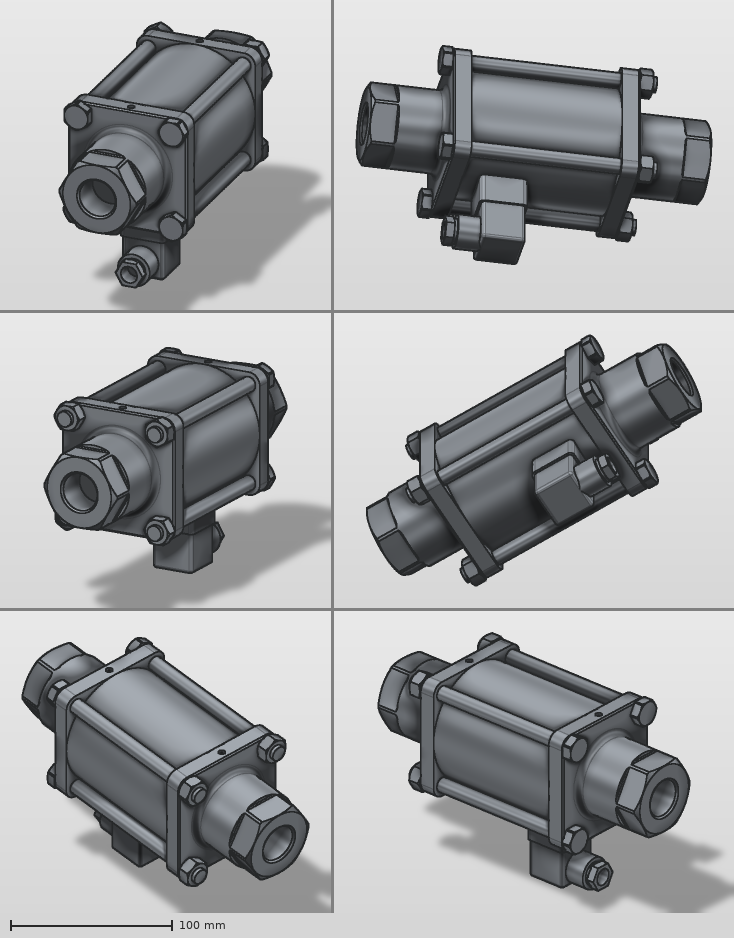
import cadquery as cq
import math

overall_length = 215.2
end_y = overall_length / 2

tube_diameter = 80.0
tube_length = 95.1
flange_width = tube_diameter
flange_thickness = 11.6
flange_corner_radius = 7.7
flange_edge_chamfer = 1.0
flange_inner_y = tube_length / 2
flange_outer_y = flange_inner_y + flange_thickness

side_hole_diameter = 4.3
side_hole_depth = 4.3
drill_point_angle = 118.0

fitting_diameter = 52.0
fitting_root_fillet = 4.0
fitting_hex_flats = 46.0
fitting_hex_length = 17.2
fitting_hex_root = 0.9
fitting_end_diameter = 45.6
port_diameter = 24.0
port_depth = 21.5
port_chamfer = 1.3

bolt_offset = 32.0
rod_diameter = 10.0
rod_end_y = 70.4
bolt_flats = 16.0
head_height = 6.5
head_corner_diameter = 17.9
nut_height = 8.5

connector_y = -22.0
socket_top_z = -38.3
connector_bottom_z = -83.7
socket_size_x = 30.5
socket_size_y = 30.1
socket_bottom_z = -57.5
socket_edge_radius = 3.0
plug_size_x = 28.0
plug_size_y = 27.5
plug_edge_radius = 2.2

gland_diameter = 21.5
gland_z = connector_bottom_z + gland_diameter / 2
gland_end_y = -49.7
gland_neck_diameter = 16.0
gland_neck_length = 2.0
gland_hex_flats = 16.0
gland_hex_length = 5.4
cable_hole_diameter = 11.0
cable_hole_depth = 10.8

hex_chamfer_angle = 30.0


def hex_corner_diameter(flats):
    """Diameter over the corners of a hexagon with the given width across flats."""
    return flats / math.cos(math.radians(30))


def y_cylinder(diameter, start_y, end, x=0.0, z=0.0):
    """Cylinder along Y from start_y to end."""
    plane = cq.Plane(origin=(x, start_y, z), xDir=(1, 0, 0), normal=(0, 1, 0))
    return cq.Workplane(plane).circle(diameter / 2).extrude(end - start_y)


def y_hexagon(flats, start_y, end, x=0.0, z=0.0, turn=0.0):
    """Hexagonal prism along Y, with flats at top and bottom when turn is 0."""
    plane = cq.Plane(origin=(x, start_y, z), xDir=(1, 0, 0), normal=(0, 1, 0))
    profile = cq.Workplane(plane).transformed(rotate=(0, 0, turn))
    return profile.polygon(6, hex_corner_diameter(flats)).extrude(end - start_y)


def edge_drop(corner_diameter, face_diameter):
    """Axial length of the turned chamfer on the end of a hexagon."""
    return (corner_diameter - face_diameter) / 2 * math.tan(math.radians(hex_chamfer_angle))


def turned_blank(corner_diameter, face_diameter, start_y, end, x=0.0, z=0.0, both_ends=False):
    """Cylinder with a shallow chamfer at its start, or at both ends."""
    drop = edge_drop(corner_diameter, face_diameter)
    radial = (corner_diameter - face_diameter) / 2
    blank = y_cylinder(corner_diameter, start_y, end, x, z)
    blank = blank.faces("<Y").edges().chamfer(drop, radial)
    if both_ends:
        blank = blank.faces(">Y").edges().chamfer(drop, radial)
    return blank


def front_flange():
    flange = (
        cq.Workplane("XY")
        .box(flange_width, flange_thickness, flange_width)
        .edges("|Y")
        .fillet(flange_corner_radius)
        .faces("<Y")
        .chamfer(flange_edge_chamfer)
    )
    mid_y = -(flange_inner_y + flange_outer_y) / 2
    return flange.translate((0, mid_y, 0)).cut(side_hole(mid_y))


def side_hole(y):
    """Blind hole with a drill point, entering from the top of a flange."""
    radius = side_hole_diameter / 2
    point = radius / math.tan(math.radians(drill_point_angle / 2))
    top_z = flange_width / 2
    floor_z = top_z - side_hole_depth
    return (
        cq.Workplane("XZ")
        .polyline([(0, top_z), (radius, top_z), (radius, floor_z), (0, floor_z - point)])
        .close()
        .revolve(360, (0, 0, 0), (0, 1, 0))
        .translate((0, y, 0))
    )


def front_fitting():
    """Turned neck flaring into the flange, with a hexagon cut into its outer end."""
    radius = fitting_diameter / 2
    flare_y = -flange_outer_y - fitting_root_fillet
    flare_radius = radius + fitting_root_fillet
    arc_offset = fitting_root_fillet * (1 - math.sqrt(0.5))
    drop = edge_drop(fitting_diameter, fitting_end_diameter)
    turned = (
        cq.Workplane("XY")
        .moveTo(0, -end_y)
        .lineTo(fitting_end_diameter / 2, -end_y)
        .lineTo(radius, -end_y + drop)
        .lineTo(radius, flare_y)
        .threePointArc((radius + arc_offset, -flange_outer_y - arc_offset), (flare_radius, -flange_outer_y))
        .lineTo(flare_radius, -flange_inner_y)
        .lineTo(0, -flange_inner_y)
        .close()
        .revolve(360, (0, 0, 0), (0, 1, 0))
    )
    return turned.cut(fitting_flats()).cut(port())


def fitting_flats():
    """Material removed around the fitting hexagon, sloping outward at its root."""
    root_y = -end_y + fitting_hex_length
    straight_end_y = root_y - fitting_hex_root
    surround = y_cylinder(2 * fitting_diameter, -end_y, root_y)
    hexagon = y_hexagon(fitting_hex_flats, -end_y, straight_end_y)
    root_plane = cq.Plane(origin=(0, straight_end_y, 0), xDir=(1, 0, 0), normal=(0, 1, 0))
    root = (
        cq.Workplane(root_plane)
        .polygon(6, hex_corner_diameter(fitting_hex_flats))
        .workplane(offset=fitting_hex_root)
        .polygon(6, hex_corner_diameter(fitting_hex_flats + 2 * fitting_hex_root))
        .loft(ruled=True)
    )
    return surround.cut(hexagon).cut(root)


def port():
    """Blind port bore with a chamfered mouth."""
    bore = y_cylinder(port_diameter, -end_y, -end_y + port_depth)
    mouth_plane = cq.Plane(origin=(0, -end_y, 0), xDir=(1, 0, 0), normal=(0, 1, 0))
    mouth = (
        cq.Workplane(mouth_plane)
        .circle(port_diameter / 2 + port_chamfer)
        .extrude(port_chamfer, taper=45)
    )
    return bore.union(mouth)


def tie_bolt(x, z, turn):
    """Tie rod with a bolt head at the front and a nut at the rear."""
    rod = y_cylinder(rod_diameter, -flange_outer_y, rod_end_y, x, z)

    head_end_y = -flange_outer_y - head_height
    head = y_hexagon(bolt_flats, head_end_y, -flange_outer_y, x, z, turn)
    head_blank = turned_blank(head_corner_diameter, bolt_flats, head_end_y, -flange_outer_y, x, z)

    nut_end_y = flange_outer_y + nut_height
    nut = y_hexagon(bolt_flats, flange_outer_y, nut_end_y, x, z, turn)
    nut_blank = turned_blank(
        hex_corner_diameter(bolt_flats), bolt_flats, flange_outer_y, nut_end_y, x, z, both_ends=True
    )
    return rod.union(head.intersect(head_blank)).union(nut.intersect(nut_blank))


def connector():
    """Socket block under the tube with a slightly smaller plug below it."""
    socket = (
        cq.Workplane("XY", origin=(0, connector_y, socket_bottom_z))
        .rect(socket_size_x, socket_size_y)
        .extrude(socket_top_z - socket_bottom_z)
        .edges("|Z")
        .fillet(socket_edge_radius)
    )
    plug = (
        cq.Workplane("XY", origin=(0, connector_y, connector_bottom_z))
        .rect(plug_size_x, plug_size_y)
        .extrude(socket_bottom_z - connector_bottom_z)
        .edges("|Z or <Z")
        .fillet(plug_edge_radius)
    )
    return socket.union(plug).union(gland())


def gland():
    """Cable gland: round body, short neck and a hexagon with the cable hole."""
    neck_end_y = gland_end_y - gland_neck_length
    hex_end_y = neck_end_y - gland_hex_length
    body = y_cylinder(gland_diameter, gland_end_y, connector_y, z=gland_z)
    neck = y_cylinder(gland_neck_diameter, neck_end_y, gland_end_y, z=gland_z)
    hexagon = y_hexagon(gland_hex_flats, hex_end_y, neck_end_y, z=gland_z)
    cable_hole = y_cylinder(cable_hole_diameter, hex_end_y, hex_end_y + cable_hole_depth, z=gland_z)
    return body.union(neck).union(hexagon).cut(cable_hole)


tube = y_cylinder(tube_diameter, -flange_inner_y, flange_inner_y)
front_end = front_flange().union(front_fitting())
rear_end = front_end.mirror("XZ")
result = tube.union(front_end).union(rear_end).union(connector())

for side_x in (-1, 1):
    for side_z in (-1, 1):
        bolt_turn = 0.0 if side_x == side_z else 30.0
        result = result.union(tie_bolt(side_x * bolt_offset, side_z * bolt_offset, bolt_turn))